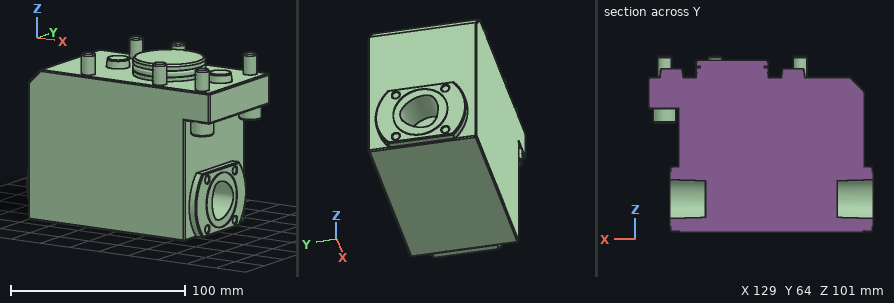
import cadquery as cq
import math

total_length = 129.0
width = 64.0
body_left = 5.2
body_right = 111.8
body_top = 89.0
ledge_bottom = 71.0
corner_cut = 8.3
edge_chamfer = 0.8

flange_center_z = 19.1
flange_diameter = 53.5
flange_half_height = 18.7
flange_chamfer = 0.6
nose_diameter = 32.0
nose_height = 0.5
flange_thickness = body_left - nose_height
flange_screw_offset = 14.6
flange_screw_diameter = 5.0
flange_screw_depth = 0.4
flange_screw_taper = 45.0

socket_diameter = 22.5
socket_lobe = 0.8
socket_depth = 20.6
socket_inset = 0.6
socket_points = 36

bolt_diameter = 8.0
bolt_top = 101.0
bolt_chamfer = 0.9
bolt_y = 25.3
ledge_bolt_x = 119.8
first_bolt_x = 42.0
rear_bolt_x = 70.8
front_bolt_x = 90.8
head_diameter = 13.0
head_height = 8.3
head_chamfer = 0.8

dowel_base_diameter = 13.5
dowel_shoulder_diameter = 12.5
dowel_tip_diameter = 11.6
dowel_shoulder_height = 4.3
dowel_height = 5.0
dowel_xs = (46.0, 115.8)

coupling_x = 81.0
coupling_diameter = 41.8
coupling_groove_diameter = 37.0
coupling_height = 9.8
coupling_chamfer_height = 1.2
coupling_chamfer_inset = 1.0
coupling_base_height = 2.3
ring_height = 3.2
ring_round_diameter = 2.0
groove_width = 0.8
ring_top = coupling_base_height + ring_height
groove_top = ring_top + groove_width

embed = 1.3


def make_body():
    body = (
        cq.Workplane("XZ")
        .moveTo(body_left, 0)
        .lineTo(body_right, 0)
        .lineTo(body_right, ledge_bottom)
        .lineTo(total_length, ledge_bottom)
        .lineTo(total_length, body_top)
        .lineTo(body_left + corner_cut, body_top)
        .lineTo(body_left, body_top - corner_cut)
        .close()
        .extrude(width / 2, both=True)
    )
    side_edges = body.faces("<Y or >Y").edges()
    cross_edges = body.edges("(>X or <Z) and |Y")
    return side_edges.add(cross_edges).chamfer(edge_chamfer)


def revolve_upright(x, y, base_z, profile):
    """Solid of revolution about a vertical axis; profile lists (radius, height) pairs."""
    height = profile[-1][1]
    outline = [(0, profile[0][1])] + profile + [(0, height)]
    return (
        cq.Workplane("XZ")
        .polyline(outline)
        .close()
        .revolve(360, (0, 0), (0, 1))
        .translate((x, y, base_z))
    )


def make_bolt(x, y):
    length = bolt_top - body_top + embed
    return (
        cq.Workplane("XY", origin=(x, y, body_top - embed))
        .circle(bolt_diameter / 2)
        .extrude(length)
        .faces(">Z")
        .chamfer(bolt_chamfer)
    )


def make_bolt_head(x, y):
    return (
        cq.Workplane("XY", origin=(x, y, ledge_bottom - head_height))
        .circle(head_diameter / 2)
        .extrude(head_height + embed)
        .faces("<Z")
        .chamfer(head_chamfer)
    )


def make_dowel(x):
    return revolve_upright(x, 0, body_top, [
        (dowel_base_diameter / 2, 0),
        (dowel_shoulder_diameter / 2, dowel_shoulder_height),
        (dowel_tip_diameter / 2, dowel_height),
    ])


def make_coupling():
    outer = coupling_diameter / 2
    groove = coupling_groove_diameter / 2
    spool = revolve_upright(coupling_x, 0, body_top, [
        (outer, 0),
        (outer, coupling_base_height),
        (groove, coupling_base_height),
        (groove, groove_top),
        (outer, groove_top),
        (outer, coupling_height - coupling_chamfer_height),
        (outer - coupling_chamfer_inset, coupling_height),
    ])
    ring = (
        cq.Workplane("XY", origin=(coupling_x, 0, body_top + coupling_base_height))
        .circle(outer)
        .extrude(ring_height)
        .edges()
        .fillet(ring_round_diameter / 2)
    )
    return spool.union(ring)


def left_face_plane(x):
    """Sketch plane facing -X: local x runs along -Y, local y along +Z."""
    return cq.Workplane(cq.Plane((x, 0, flange_center_z), (0, -1, 0), (-1, 0, 0)))


def make_left_flange():
    plate = (
        left_face_plane(body_left)
        .circle(flange_diameter / 2)
        .extrude(flange_thickness)
        .intersect(
            left_face_plane(body_left)
            .rect(flange_diameter, 2 * flange_half_height)
            .extrude(flange_thickness)
        )
        .faces("<X")
        .chamfer(flange_chamfer)
    )
    nose = left_face_plane(body_left).circle(nose_diameter / 2).extrude(body_left)
    recesses = (
        left_face_plane(nose_height)
        .rect(2 * flange_screw_offset, 2 * flange_screw_offset, forConstruction=True)
        .vertices()
        .circle(flange_screw_diameter / 2)
        .extrude(-flange_screw_depth, taper=flange_screw_taper)
    )
    root = left_face_plane(body_left + embed).circle(nose_diameter / 2).extrude(embed)
    return plate.union(nose).union(root).cut(recesses)


def socket_point(angle, inset):
    """Point on a constant-width three-lobed curve, drawn in by inset, with one lobe towards +Y."""
    reach = socket_diameter / 2 - inset - socket_lobe * math.cos(3 * angle)
    slope = 3 * socket_lobe * math.sin(3 * angle)
    return (
        reach * math.cos(angle) - slope * math.sin(angle),
        reach * math.sin(angle) + slope * math.cos(angle),
    )


def socket_outline(inset):
    angles = [2 * math.pi * i / socket_points for i in range(socket_points)]
    return [socket_point(angle, inset) for angle in angles]


def make_left_socket():
    return (
        left_face_plane(0)
        .spline(socket_outline(0), periodic=True)
        .close()
        .workplane(offset=-socket_depth)
        .spline(socket_outline(socket_inset), periodic=True)
        .close()
        .loft(ruled=True)
    )


def mirror_to_right_end(solid):
    return solid.mirror("YZ", ((body_left + body_right) / 2, 0, 0))


result = make_body()

bolt_places = [(x, side * bolt_y) for x in (first_bolt_x, ledge_bolt_x) for side in (-1, 1)]
bolt_places += [(rear_bolt_x, bolt_y), (front_bolt_x, -bolt_y)]
for bolt_x, side_y in bolt_places:
    result = result.union(make_bolt(bolt_x, side_y))
for side_y in (-bolt_y, bolt_y):
    result = result.union(make_bolt_head(ledge_bolt_x, side_y))

for dowel_x in dowel_xs:
    result = result.union(make_dowel(dowel_x))
result = result.union(make_coupling())

flange = make_left_flange()
socket = make_left_socket()
result = result.union(flange).union(mirror_to_right_end(flange))
result = result.cut(socket).cut(mirror_to_right_end(socket))